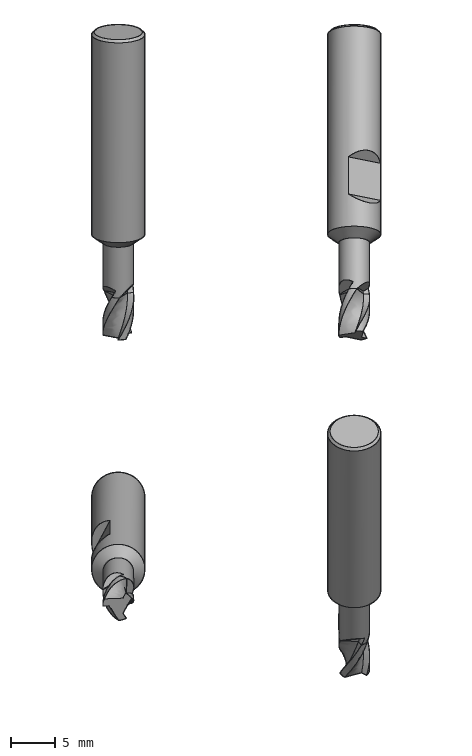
import cadquery as cq
import math

TOTAL_LENGTH = 36.0
SHANK_RADIUS = 6.0 / 2
TOP_CHAMFER = 0.3

CUTTER_RADIUS = 3.5 / 2
CUTTER_LENGTH = 5.0
CONE_BOTTOM_Z = 11.0
CONE_TOP_Z = 12.0

FLAT_DEPTH = 0.9
FLAT_CENTER_Z = 18.05
FLAT_LENGTH = 4.4

FLUTE_COUNT = 3
HELIX_ANGLE = 30.0
CORE_RADIUS = 1.05
FIRST_EDGE_ANGLE = -58.0
FLUTE_SWEEP = 90.0
RUNOUT_DIRECTION = -20.0
RUNOUT_SLOPE = 45.0
FLUTE_TOP_Z = 6.48
HELIX_LEAD = 2 * math.pi * CUTTER_RADIUS / math.tan(math.radians(HELIX_ANGLE))

CLEARANCE = 0.72


def clamping_flat():
    """Trapezoidal prism that removes the clamping flat."""
    floor_y = SHANK_RADIUS - FLAT_DEPTH
    outer_y = SHANK_RADIUS + CLEARANCE
    half_floor = FLAT_LENGTH / 2
    half_mouth = half_floor + outer_y - floor_y
    outline = [
        (floor_y, FLAT_CENTER_Z - half_floor),
        (outer_y, FLAT_CENTER_Z - half_mouth),
        (outer_y, FLAT_CENTER_Z + half_mouth),
        (floor_y, FLAT_CENTER_Z + half_floor),
    ]
    return cq.Workplane("YZ").polyline(outline).close().extrude(SHANK_RADIUS, both=True)


def runout_block(split_twist):
    """Block below the sloping plane where a flute runs out into the neck."""
    direction = math.radians(RUNOUT_DIRECTION)
    heel_offset = CUTTER_RADIUS * math.cos(math.radians(FLUTE_SWEEP) + direction)
    rise = math.tan(math.radians(RUNOUT_SLOPE))
    reach = 3 * CUTTER_RADIUS
    outline = [
        (-reach, -reach),
        (reach, -reach),
        (reach, CUTTER_LENGTH + rise * (reach - heel_offset)),
        (-reach, CUTTER_LENGTH - rise * (reach + heel_offset)),
    ]
    block = cq.Workplane("XZ").polyline(outline).close().extrude(reach, both=True)
    return block.rotate((0, 0, 0), (0, 0, 1), RUNOUT_DIRECTION + split_twist)


def flute():
    """Helical flute: a radial rake face and a straight back up to the land's heel."""
    sweep = math.radians(FLUTE_SWEEP)
    heel_x = CUTTER_RADIUS * math.cos(sweep)
    heel_y = -CUTTER_RADIUS * math.sin(sweep)
    stretch = 1.3
    reach = CUTTER_RADIUS + CLEARANCE
    outline = [
        (CORE_RADIUS, 0),
        (reach, 0),
        (reach, -reach),
        (CORE_RADIUS + stretch * (heel_x - CORE_RADIUS), stretch * heel_y),
    ]
    total_twist = 360 * FLUTE_TOP_Z / HELIX_LEAD
    helix = cq.Workplane("XY").polyline(outline).close().twistExtrude(FLUTE_TOP_Z, total_twist)
    return helix.intersect(runout_block(360 * CUTTER_LENGTH / HELIX_LEAD))


def cut_flutes(body):
    """Cut all the flutes, evenly spaced around the axis."""
    single = flute()
    for index in range(FLUTE_COUNT):
        angle = FIRST_EDGE_ANGLE + index * 360 / FLUTE_COUNT
        body = body.cut(single.rotate((0, 0, 0), (0, 0, 1), angle))
    return body


def make_shank():
    """Shank, cone and neck, down to the face that meets the cutting head."""
    profile = [
        (0, CUTTER_LENGTH),
        (CUTTER_RADIUS, CUTTER_LENGTH),
        (CUTTER_RADIUS, CONE_BOTTOM_Z),
        (SHANK_RADIUS, CONE_TOP_Z),
        (SHANK_RADIUS, TOTAL_LENGTH - TOP_CHAMFER),
        (SHANK_RADIUS - TOP_CHAMFER, TOTAL_LENGTH),
        (0, TOTAL_LENGTH),
    ]
    blank = cq.Workplane("XZ").polyline(profile).close().revolve(360, (0, 0), (0, 1))
    return cut_flutes(blank.cut(clamping_flat()))


def make_cutting_head():
    """Fluted head with the cutting edges."""
    return cut_flutes(cq.Workplane("XY").circle(CUTTER_RADIUS).extrude(CUTTER_LENGTH))


shank = make_shank()
cutting_head = make_cutting_head()

result = cq.Compound.makeCompound([*shank.solids().vals(), *cutting_head.solids().vals()])